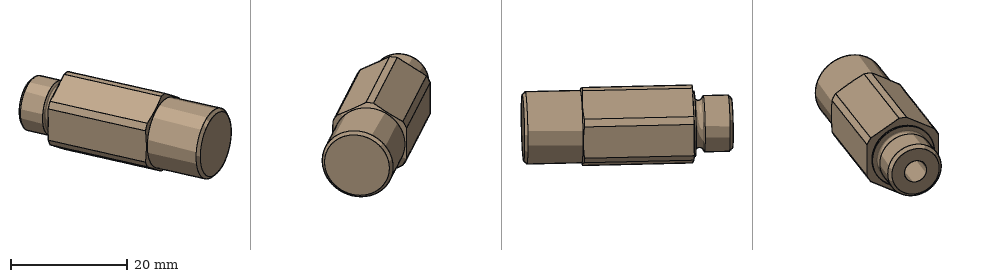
import cadquery as cq
import math

length = 36.0
relief_start = 4.85
collar_start = 6.45
hex_start = 6.85
hex_end = 26.0

spigot_radius = 9.72 / 2
spigot_tip_radius = 8.55 / 2
collar_radius = 11.25 / 2
across_flats = 13.0
corner_radius = 14.3 / 2
barrel_radius = 12.5 / 2
barrel_chamfer = 0.55
bore_diameter = 4.0
bore_depth = 18.0

relief_radius = 0.72
relief_cone_angle = math.radians(60)

bevel_angle = math.radians(15)


def revolve_about_x(profile):
    return profile.close().revolve(360, (0, 0, 0), (1, 0, 0))


def make_spigot():
    """Chamfered spigot, thread relief and thin collar, ending at the hexagon."""
    tip_chamfer = spigot_radius - spigot_tip_radius
    cone_cos = math.cos(relief_cone_angle)
    cone_sin = math.sin(relief_cone_angle)
    arc_x = collar_start - relief_radius
    cone_end_x = arc_x - relief_radius * cone_sin
    cone_drop = (cone_end_x - relief_start) * math.tan(relief_cone_angle)
    cone_end_r = spigot_radius - cone_drop
    arc_r = cone_end_r + relief_radius * cone_cos
    profile = (
        cq.Workplane("XY")
        .lineTo(0, spigot_tip_radius)
        .lineTo(tip_chamfer, spigot_radius)
        .lineTo(relief_start, spigot_radius)
        .lineTo(cone_end_x, cone_end_r)
        .threePointArc((arc_x, arc_r - relief_radius), (collar_start, arc_r))
        .lineTo(collar_start, collar_radius)
        .lineTo(hex_start, collar_radius)
        .lineTo(hex_start, 0)
    )
    return revolve_about_x(profile)


def make_hexagon():
    """Hexagon with flats facing +/-Y, rounded corners and one bevelled end."""
    corner_diameter = across_flats / math.cos(math.pi / 6)
    prism = (
        cq.Workplane("YZ", origin=(hex_start, 0, 0))
        .transformed(rotate=(0, 0, 90))
        .polygon(6, corner_diameter)
        .extrude(hex_end - hex_start)
    )
    bevel_length = (corner_radius - barrel_radius) * math.tan(bevel_angle)
    envelope = (
        cq.Workplane("XY")
        .moveTo(hex_start, 0)
        .lineTo(hex_start, corner_radius)
        .lineTo(hex_end - bevel_length, corner_radius)
        .lineTo(hex_end, barrel_radius)
        .lineTo(hex_end, 0)
    )
    return prism.intersect(revolve_about_x(envelope))


def make_barrel():
    """Plain round barrel with a chamfered free end."""
    return (
        cq.Workplane("YZ", origin=(hex_end, 0, 0))
        .circle(barrel_radius)
        .extrude(length - hex_end)
        .faces(">X")
        .chamfer(barrel_chamfer)
    )


bore = cq.Workplane("YZ").circle(bore_diameter / 2).extrude(bore_depth)

result = make_spigot().union(make_hexagon()).union(make_barrel()).cut(bore)